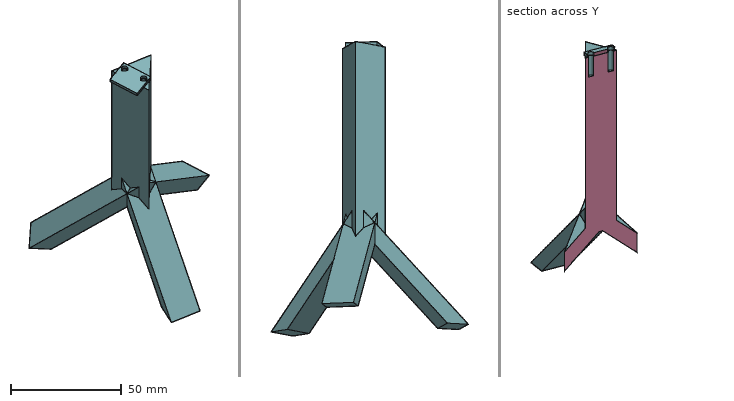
import cadquery as cq
import math

COLUMN_SIDE = 20.1
COLUMN_TOP = 127.0
COLUMN_BOTTOM = 36.7
COLUMN_INRADIUS = COLUMN_SIDE / (2 * math.sqrt(3))
COLUMN_CIRCUMRADIUS = 2 * COLUMN_INRADIUS

LEG_COUNT = 3
LEG_WIDTH = 14.7
LEG_REACH = 48.8
LEG_FOOT_LENGTH = 10.0
LEG_INNER_END = -COLUMN_INRADIUS

PLATE_WIDTH = 14.7
PLATE_DEPTH = 11.3
PLATE_TOP = 128.6
PLATE_THICKNESS = PLATE_TOP - COLUMN_TOP
CLEARANCE_DIAMETER = 3.0
HOLE_SPACING = 10.3
HOLE_SETBACK = 2.6
HOLE_PLACES = [(side * HOLE_SPACING / 2, -HOLE_SETBACK) for side in (-1, 1)]

PILOT_DIAMETER = 2.5
PILOT_DEPTH = 10.0


def make_column():
    half_side = COLUMN_SIDE / 2
    corners = [
        (-half_side, -COLUMN_INRADIUS),
        (half_side, -COLUMN_INRADIUS),
        (0, COLUMN_CIRCUMRADIUS),
    ]
    return (
        cq.Workplane("XY", origin=(0, 0, COLUMN_BOTTOM))
        .polyline(corners)
        .close()
        .extrude(COLUMN_TOP - COLUMN_BOTTOM)
    )


def make_leg():
    """Leg towards +Y; its hidden upper end is upright and lies inside the column."""
    inner_top = LEG_REACH - LEG_INNER_END
    profile = [
        (LEG_REACH, 0),
        (LEG_INNER_END, inner_top),
        (LEG_INNER_END, inner_top - LEG_FOOT_LENGTH),
        (LEG_REACH - LEG_FOOT_LENGTH, 0),
    ]
    return cq.Workplane("YZ").polyline(profile).close().extrude(LEG_WIDTH / 2, both=True)


def make_stand():
    stand = make_column()
    for index in range(LEG_COUNT):
        angle = index * 360 / LEG_COUNT
        stand = stand.union(make_leg().rotate((0, 0, 0), (0, 0, 1), angle))
    return stand.cut(make_screw_holes(PILOT_DIAMETER, COLUMN_TOP - PILOT_DEPTH, PILOT_DEPTH))


def make_screw_holes(diameter, bottom, depth):
    return (
        cq.Workplane("XY", origin=(0, 0, bottom))
        .pushPoints(HOLE_PLACES)
        .circle(diameter / 2)
        .extrude(depth)
    )


def make_plate():
    plate = (
        cq.Workplane("XY", origin=(0, -PLATE_DEPTH / 2, COLUMN_TOP))
        .rect(PLATE_WIDTH, PLATE_DEPTH)
        .extrude(PLATE_THICKNESS)
    )
    return plate.cut(make_screw_holes(CLEARANCE_DIAMETER, COLUMN_TOP, PLATE_THICKNESS))


stand = make_stand()
plate = make_plate()
result = cq.Compound.makeCompound([stand.val(), plate.val()])